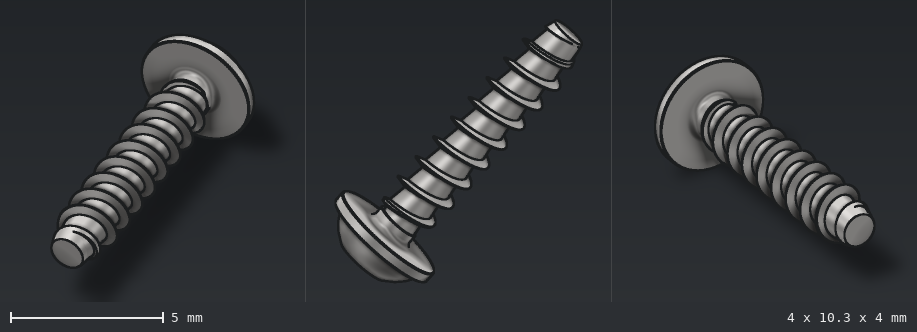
import cadquery as cq

screw_length = 10.3

flange_radius = 2.0
flange_top_depth = 0.9
bearing_depth = 1.3
flange_chamfer = 0.03
crown_flat_radius = 0.95
crown_base_radius = 1.73
crown_mid_radius = 1.52
crown_mid_depth = 0.53

neck_radius = 0.73
neck_fillet = 0.24
neck_end_depth = 1.79

turns_measured = 77.67
pitch = 69.0 / turns_measured
first_crest_depth = 1.6
crest_radius = 1.01
crest_half_width = 0.015
upper_flank_width = 0.11
lower_flank_width = 0.13
core_max_radius = 0.7
core_min_radius = 0.62
sweep_inner_radius = 0.49
core_overlap = 0.01
pitch_gap = 0.005
sweep_turns = 12

run_in_radius = 0.81
run_in_end_depth = 2.72
run_out_start_depth = 8.95
tip_radius = 0.59

cutter_radius = 1.55
shank_overrun = 1.55
core_seam_angle = 37


def make_head_and_neck():
    """Domed head, washer flange and filleted neck, revolved about the axis."""
    fillet_mid = neck_fillet * (1 - 0.5 ** 0.5)
    return (
        cq.Workplane("XZ")
        .moveTo(0, 0)
        .lineTo(crown_flat_radius, 0)
        .threePointArc((crown_mid_radius, crown_mid_depth), (crown_base_radius, flange_top_depth))
        .lineTo(flange_radius - flange_chamfer, flange_top_depth)
        .lineTo(flange_radius, flange_top_depth + flange_chamfer)
        .lineTo(flange_radius, bearing_depth - flange_chamfer)
        .lineTo(flange_radius - flange_chamfer, bearing_depth)
        .lineTo(neck_radius + neck_fillet, bearing_depth)
        .threePointArc(
            (neck_radius + fillet_mid, bearing_depth + fillet_mid),
            (neck_radius, bearing_depth + neck_fillet),
        )
        .lineTo(neck_radius, neck_end_depth)
        .lineTo(0, neck_end_depth)
        .close()
        .revolve(360, (0, 0), (0, 1))
    )


def make_thread():
    """One helical sweep carrying both the thread ridge and the tapered core surface."""
    sweep_start = first_crest_depth - pitch
    ridge_start = sweep_start - upper_flank_width
    taper_end = ridge_start + pitch - pitch_gap
    helix = cq.Wire.makeHelix(
        pitch, pitch * sweep_turns, core_min_radius, center=cq.Vector(0, 0, sweep_start)
    )
    outline = [
        (sweep_inner_radius, ridge_start),
        (core_min_radius - core_overlap, ridge_start),
        (crest_radius, sweep_start - crest_half_width),
        (crest_radius, sweep_start + crest_half_width),
        (core_max_radius, sweep_start + lower_flank_width),
        (core_min_radius - core_overlap, taper_end),
        (sweep_inner_radius, taper_end),
    ]
    return cq.Workplane("XZ").polyline(outline).close().sweep(cq.Workplane(helix), isFrenet=True)


def make_core():
    """Cylindrical core reaching from inside the head past the tip."""
    core = (
        cq.Workplane("XY", origin=(0, 0, flange_top_depth))
        .circle(core_min_radius)
        .extrude(screw_length + shank_overrun - flange_top_depth)
    )
    return core.rotate((0, 0, 0), (0, 0, 1), core_seam_angle)


def revolve_cutter(outline):
    """Solid of revolution about the screw axis from (radius, depth) points."""
    cutter = cq.Workplane("XZ").polyline(outline).close().revolve(360, (0, 0), (0, 1))
    return cutter.rotate((0, 0, 0), (0, 0, 1), 2 * core_seam_angle)


def make_run_in_cutter():
    """Removes everything above the neck end and cones down the first thread turn."""
    return revolve_cutter([
        (0, -shank_overrun),
        (cutter_radius, -shank_overrun),
        (cutter_radius, run_in_end_depth),
        (crest_radius + core_overlap, run_in_end_depth),
        (run_in_radius, neck_end_depth),
        (0, neck_end_depth),
    ])


def make_run_out_cutter():
    """Cones down the last thread turns, reaching the tip radius at the tip."""
    slope = (crest_radius - tip_radius) / (screw_length - run_out_start_depth)
    margin = 0.21
    return revolve_cutter([
        (crest_radius + slope * margin, run_out_start_depth - margin),
        (cutter_radius, run_out_start_depth - margin),
        (cutter_radius, screw_length + margin),
        (tip_radius - slope * margin, screw_length + margin),
    ])


def make_tip_cutter():
    """Block that squares off the tip."""
    return (
        cq.Workplane("XY", origin=(0, 0, screw_length))
        .rect(2 * cutter_radius, 2 * cutter_radius)
        .extrude(2 * shank_overrun)
    )


threaded_shank = make_core().union(make_thread(), clean=False)
for cutter in (make_run_in_cutter(), make_tip_cutter(), make_run_out_cutter()):
    threaded_shank = threaded_shank.cut(cutter, clean=False)

screw = make_head_and_neck().union(threaded_shank, clean=False)
result = screw.rotate((0, 0, 0), (1, 0, 0), 90)